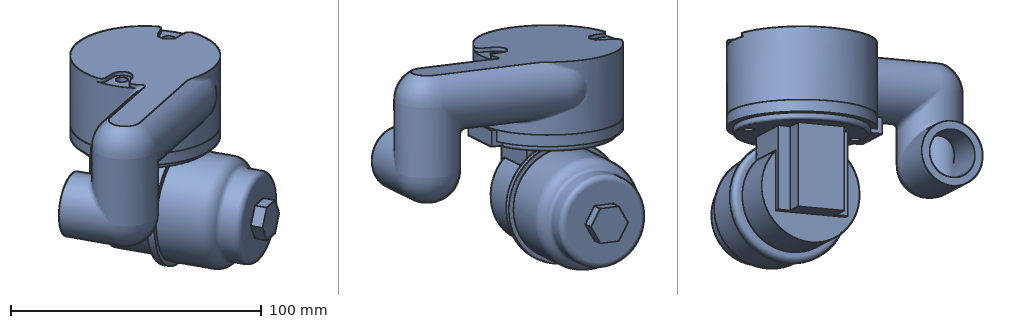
import cadquery as cq
import math


COVER_RADIUS = 30.0
COVER_HEIGHT = 30.0

SCREW_OFFSET = 23.0
SCREW_HOLE_RADIUS = 2.5
NOTCH_DEPTH = 1.6
NOTCH_RADIUS = 4.4
NOTCH_OVERRUN = 1.1
NOTCH_FLARE = 9.0
NOTCH_CORNER_RADIUS = 2.5

PIPE_RADIUS = 13.2
PIPE_BORE_RADIUS = 9.8
PIPE_X = 19.2
PIPE_INNER_Y = -5.7
PIPE_OUTER_Y = -63.5
PIPE_UPPER_Z = COVER_HEIGHT - 11.5
PIPE_LOWER_Z = -10.4
PIPE_MOUTH_X = -3.8
ELBOW_FILLET = 2.0
PIPE_ROOT_FILLET = 1.3

FLANGE_THICKNESS = 4.8
SPIGOT_RADIUS = 27.5
SPIGOT_BOTTOM_Z = -7.5
SPIGOT_FILLET = 1.2
TAB_WIDTH = 20.8
TAB_FACE_Y = -30.4
TAB_LENGTH = 10.7
TAB_THICKNESS = 6.7

VALVE_Z = -32.1
NECK_RADIUS = 21.2
NECK_START_X = -9.0
COLLAR_RADIUS = 25.0
COLLAR_START_X = 10.9
COLLAR_END_X = 14.9
COLLAR_FILLET = 2.1
BARREL_RADIUS = 22.9
BARREL_END_X = 34.3
SHOULDER_END_X = 41.4
SHOULDER_OUTER_RADIUS = 6.2
CAP_RADIUS = 19.0
CAP_END_X = 49.6
CAP_FILLET = 2.3
HEX_ACROSS_FLATS = 14.3
HEX_END_X = 54.7

POST_BOTTOM_Z = VALVE_Z - 9.7
POST_WIDTH = 30.1
POST_START_X = -11.5
RIB_WIDTH = 19.7
RIB_START_X = -19.7


def screw_holes(bottom_z, top_z):
    return (
        cq.Workplane("XY", origin=(0, 0, bottom_z))
        .pushPoints([(0, SCREW_OFFSET), (0, -SCREW_OFFSET)])
        .circle(SCREW_HOLE_RADIUS)
        .extrude(top_z - bottom_z)
    )


def screw_notch():
    """U-shaped recess around the +Y screw hole, open and flared towards the rim."""
    flare = math.radians(NOTCH_FLARE)
    side_x = NOTCH_RADIUS * math.cos(flare)
    side_y = SCREW_OFFSET - NOTCH_RADIUS * math.sin(flare)
    mouth_y = COVER_RADIUS + NOTCH_OVERRUN
    mouth_x = side_x + (mouth_y - side_y) * math.tan(flare)
    return (
        cq.Workplane("XY", origin=(0, 0, COVER_HEIGHT - NOTCH_DEPTH))
        .moveTo(-mouth_x, mouth_y)
        .lineTo(-side_x, side_y)
        .threePointArc((0, SCREW_OFFSET - NOTCH_RADIUS), (side_x, side_y))
        .lineTo(mouth_x, mouth_y)
        .close()
        .extrude(NOTCH_DEPTH)
    )


def make_drum():
    drum = cq.Workplane("XY").circle(COVER_RADIUS).extrude(COVER_HEIGHT)
    notch = screw_notch()
    drum = drum.cut(notch).cut(notch.mirror("XZ"))
    rim_corners = drum.edges("|Z").filter(
        lambda edge: abs(edge.Center().y) > SCREW_OFFSET + NOTCH_RADIUS
    )
    return rim_corners.fillet(NOTCH_CORNER_RADIUS)


def pipe_run(radius):
    """Round bar along the pipe path, with a ball at every corner."""
    inner_end = cq.Vector(PIPE_X, PIPE_INNER_Y, PIPE_UPPER_Z)
    upper_elbow = cq.Vector(PIPE_X, PIPE_OUTER_Y, PIPE_UPPER_Z)
    lower_elbow = cq.Vector(PIPE_X, PIPE_OUTER_Y, PIPE_LOWER_Z)
    mouth = cq.Vector(PIPE_MOUTH_X, PIPE_OUTER_Y, PIPE_LOWER_Z)
    path = [inner_end, upper_elbow, lower_elbow, mouth]
    run = cq.Workplane("XY")
    for start, end in zip(path, path[1:]):
        leg = end - start
        run = run.union(cq.Workplane(cq.Solid.makeCylinder(radius, leg.Length, start, leg)))
    for corner in path[:-1]:
        run = run.union(cq.Workplane("XY").sphere(radius).translate(corner))
    return run


def make_pipe():
    """Outer pipe, flattened level with the cover top, with its inner elbow corners rounded."""
    pipe = pipe_run(PIPE_RADIUS)
    mitres = pipe.edges().filter(lambda edge: edge.geomType() == "ELLIPSE")
    pipe = mitres.fillet(ELBOW_FILLET)
    above_top = cq.Workplane("XY").box(
        2 * PIPE_RADIUS, 2 * (PIPE_RADIUS - PIPE_OUTER_Y), PIPE_RADIUS, centered=(True, True, False)
    )
    above_top = above_top.translate((PIPE_X, 0, COVER_HEIGHT))
    return pipe.cut(above_top)


def make_cover():
    cover = make_drum().union(make_pipe())
    root_edges = cover.edges().filter(
        lambda edge: edge.geomType() == "BSPLINE" and edge.Center().y > -COVER_RADIUS
    )
    cover = root_edges.fillet(PIPE_ROOT_FILLET)
    cover = cover.cut(pipe_run(PIPE_BORE_RADIUS))
    return cover.cut(screw_holes(0, COVER_HEIGHT))


def make_flange():
    flange = cq.Workplane("XY").circle(COVER_RADIUS).extrude(-FLANGE_THICKNESS)
    spigot = (
        cq.Workplane("XY")
        .circle(SPIGOT_RADIUS)
        .extrude(SPIGOT_BOTTOM_Z)
        .faces("<Z")
        .edges()
        .fillet(SPIGOT_FILLET)
    )
    tab = cq.Workplane("XY").box(TAB_WIDTH, TAB_LENGTH, TAB_THICKNESS, centered=(True, False, False))
    tab = tab.translate((0, TAB_FACE_Y, -TAB_THICKNESS))
    return flange.union(spigot).union(tab).cut(screw_holes(SPIGOT_BOTTOM_Z, 0))


def make_post():
    height = -POST_BOTTOM_Z
    block = cq.Workplane("XY").box(
        COLLAR_START_X - POST_START_X, POST_WIDTH, height, centered=(False, True, False)
    )
    rib = cq.Workplane("XY").box(
        COLLAR_START_X - RIB_START_X, RIB_WIDTH, height, centered=(False, True, False)
    )
    block = block.translate((POST_START_X, 0, POST_BOTTOM_Z))
    return block.union(rib.translate((RIB_START_X, 0, POST_BOTTOM_Z)))


def make_valve():
    """Turned body about the X axis with a hexagon on its end."""
    length = SHOULDER_END_X - BARREL_END_X
    drop = BARREL_RADIUS - CAP_RADIUS
    hollow_radius = (length**2 + drop**2) / (2 * drop) - SHOULDER_OUTER_RADIUS
    turn = math.asin(length / (SHOULDER_OUTER_RADIUS + hollow_radius))
    convex_mid = (
        BARREL_END_X + SHOULDER_OUTER_RADIUS * math.sin(turn / 2),
        BARREL_RADIUS - SHOULDER_OUTER_RADIUS * (1 - math.cos(turn / 2)),
    )
    arc_joint = (
        BARREL_END_X + SHOULDER_OUTER_RADIUS * math.sin(turn),
        BARREL_RADIUS - SHOULDER_OUTER_RADIUS * (1 - math.cos(turn)),
    )
    concave_mid = (
        SHOULDER_END_X - hollow_radius * math.sin(turn / 2),
        CAP_RADIUS + hollow_radius * (1 - math.cos(turn / 2)),
    )
    body = (
        cq.Workplane("XZ")
        .moveTo(NECK_START_X, 0)
        .lineTo(NECK_START_X, NECK_RADIUS)
        .lineTo(COLLAR_START_X, NECK_RADIUS)
        .lineTo(COLLAR_START_X, COLLAR_RADIUS - COLLAR_FILLET)
        .radiusArc((COLLAR_START_X + COLLAR_FILLET, COLLAR_RADIUS), COLLAR_FILLET)
        .lineTo(COLLAR_END_X, COLLAR_RADIUS)
        .lineTo(COLLAR_END_X, BARREL_RADIUS)
        .lineTo(BARREL_END_X, BARREL_RADIUS)
        .threePointArc(convex_mid, arc_joint)
        .threePointArc(concave_mid, (SHOULDER_END_X, CAP_RADIUS))
        .lineTo(CAP_END_X - CAP_FILLET, CAP_RADIUS)
        .radiusArc((CAP_END_X, CAP_RADIUS - CAP_FILLET), CAP_FILLET)
        .lineTo(CAP_END_X, 0)
        .close()
        .revolve(360, (0, 0, 0), (1, 0, 0))
    )
    hexagon = (
        cq.Workplane("YZ", origin=(CAP_END_X, 0, 0))
        .polygon(6, HEX_ACROSS_FLATS, circumscribed=True)
        .extrude(HEX_END_X - CAP_END_X)
        .rotate((0, 0, 0), (1, 0, 0), 90)
    )
    return body.union(hexagon).translate((0, 0, VALVE_Z))


def make_base():
    return make_flange().union(make_post()).union(make_valve())


cover = make_cover()
base = make_base()
result = cq.Compound.makeCompound([*cover.solids().vals(), *base.solids().vals()])